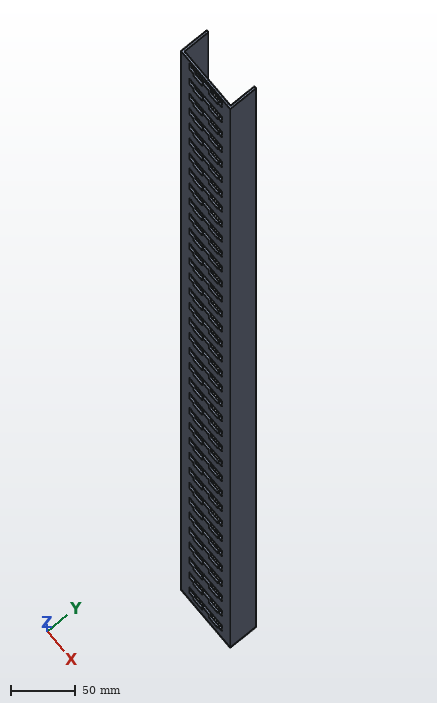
import cadquery as cq

width = 60.0
depth = 26.0
length = 1800.0
thickness = 2.0

pitch = 50.0
window_count = int(length / pitch)
first_window_bottom = 17.0
window_height = 23.0
corner_radius = 1.0

upper_width = 40.0
lower_width = 30.0
shoulder_height = 6.0

tongue_width = 8.0
tongue_height = 10.0


def make_channel():
    """Web on the -Y side, two flanges, open toward +Y."""
    outer = cq.Workplane("XY").rect(width, depth).extrude(length)
    cavity = (
        cq.Workplane("XY")
        .center(0, thickness)
        .rect(width - 2 * thickness, depth)
        .extrude(length)
    )
    return outer.cut(cavity)


def make_window_cutter(bottom):
    """Prism through the web in the shape of one window with its tongue left out."""
    upper_half = upper_width / 2
    lower_half = lower_width / 2
    tongue_half = tongue_width / 2
    shoulder = bottom + shoulder_height
    tongue_top = bottom + tongue_height
    top = bottom + window_height
    outline = (
        cq.Workplane("XZ", origin=(0, -depth / 2 + thickness, 0))
        .moveTo(0, top)
        .lineTo(upper_half, top)
        .lineTo(upper_half, shoulder)
        .lineTo(lower_half, shoulder)
        .lineTo(lower_half, bottom)
        .lineTo(tongue_half, bottom)
        .lineTo(tongue_half, tongue_top)
        .lineTo(0, tongue_top)
        .mirrorY()
    )
    return outline.extrude(thickness).edges("|Y").fillet(corner_radius)


def cut_windows(channel):
    for index in range(window_count):
        channel = channel.cut(make_window_cutter(first_window_bottom + index * pitch))
    return channel


result = cut_windows(make_channel())